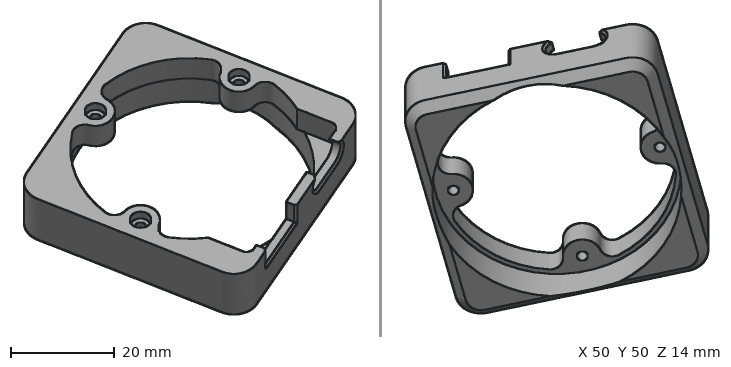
import cadquery as cq
import math

side = 50.0
height = 14.0
half_side = side / 2
corner_radius = 5.0
bottom_chamfer = 2.0

lip_radius = 23.0
bore_radius = 48.0 / 2
lip_thickness = 6.0
bore_top = height - lip_thickness

boss_distance = 20.5
boss_radius = 3.75
boss_blend = 2.5
screw_diameter = 2.1
head_diameter = 4.1
head_depth = 2.0
boss_angles = (90, 180, 270)

pocket_half_width = 18.5
pocket_end = 22.75
pocket_corner = 1.5

edge_chamfer = 0.5
port_center = 9.8
port_straight = 7.0
port_mouth = 9.4
port_side_bulge = 0.25
port_radius = 2.5
port_floor = height - 4.8
notch_center = -9.7
notch_width = 12.4
notch_floor = height - 5.0


def make_body():
    """Rounded square block with a chamfered underside."""
    block = cq.Workplane("XY").box(side, side, height, centered=(True, True, False))
    return block.edges("|Z").fillet(corner_radius).faces("<Z").chamfer(bottom_chamfer)


def boss_points():
    """Centers of the screw bosses."""
    return [
        (boss_distance * math.cos(math.radians(a)), boss_distance * math.sin(math.radians(a)))
        for a in boss_angles
    ]


def is_boss_junction(edge):
    """True for a vertical edge on the lip circle, away from the +X wall."""
    tolerance = 0.05
    center = edge.Center()
    on_lip = abs(math.hypot(center.x, center.y) - lip_radius) < tolerance
    return on_lip and center.x < half_side / 2 - corner_radius


def make_lip_opening():
    """Round opening interrupted by the bosses, with blended junctions."""
    level = cq.Workplane("XY").workplane(offset=bore_top)
    disc = level.circle(lip_radius).extrude(lip_thickness)
    wall_stop = level.center(pocket_end + half_side / 2, 0).rect(half_side, side).extrude(lip_thickness)
    disc = disc.cut(wall_stop)
    root_length = half_side - boss_distance
    for angle in boss_angles:
        boss = level.center(boss_distance, 0).circle(boss_radius).extrude(lip_thickness)
        root = (
            level.center(boss_distance + root_length / 2, 0)
            .rect(root_length, 2 * boss_radius)
            .extrude(lip_thickness)
        )
        disc = disc.cut(boss.union(root).rotate((0, 0, 0), (0, 0, 1), angle))
    junctions = disc.edges("|Z").filter(is_boss_junction)
    return disc.newObject(junctions.vals()).fillet(boss_blend)


def make_pocket():
    """Rectangular recess that reaches from the lip circle to the +X wall."""
    level = cq.Workplane("XY").workplane(offset=bore_top)
    pocket = (
        level.center(pocket_end / 2, 0)
        .rect(pocket_end, 2 * pocket_half_width)
        .extrude(lip_thickness)
        .edges("|Z and >X")
        .fillet(pocket_corner)
    )
    start = math.sqrt(lip_radius**2 - pocket_half_width**2)
    keep = level.center(start + half_side / 2, 0).rect(half_side, side).extrude(lip_thickness)
    return pocket.intersect(keep)


def chamfered_cut(profile):
    """Cut through the +X wall whose outer rim is chamfered."""
    wall = half_side - pocket_end
    through = profile(0).extrude(wall)
    flare = profile(wall - edge_chamfer).extrude(edge_chamfer, taper=-45)
    return through.union(flare)


def port_profile(offset):
    """Flat floor, quarter-round corners and curved sides leaning in towards the mouth."""
    half_floor = port_straight / 2
    half_widest = half_floor + port_radius
    half_mouth = port_mouth / 2
    depth = height - port_floor
    widest_z = port_radius - depth
    arc_offset = port_radius * math.sqrt(0.5)
    arc_x = half_floor + arc_offset
    arc_z = widest_z - arc_offset
    side_x = (half_widest + half_mouth) / 2 + port_side_bulge
    side_z = widest_z / 2 + port_side_bulge / 2
    return (
        cq.Workplane("YZ", origin=(pocket_end + offset, port_center, height))
        .moveTo(-half_floor, -depth)
        .lineTo(half_floor, -depth)
        .threePointArc((arc_x, arc_z), (half_widest, widest_z))
        .threePointArc((side_x, side_z), (half_mouth, 0))
        .lineTo(-half_mouth, 0)
        .threePointArc((-side_x, side_z), (-half_widest, widest_z))
        .threePointArc((-arc_x, arc_z), (-half_floor, -depth))
        .close()
    )


def notch_profile(offset):
    """Rectangular notch open at the top."""
    depth = height - notch_floor
    return (
        cq.Workplane("YZ", origin=(pocket_end + offset, notch_center, height))
        .rect(notch_width, 2 * depth)
    )


result = make_body()
result = result.cut(cq.Workplane("XY").circle(bore_radius).extrude(bore_top))
result = result.cut(make_lip_opening())
result = result.cut(make_pocket())
result = result.cut(chamfered_cut(port_profile))
result = result.cut(chamfered_cut(notch_profile))

screws = cq.Workplane("XY").workplane(offset=height).pushPoints(boss_points())
result = result.cut(screws.circle(screw_diameter / 2).extrude(-lip_thickness))
result = result.cut(screws.circle(head_diameter / 2).extrude(-head_depth))